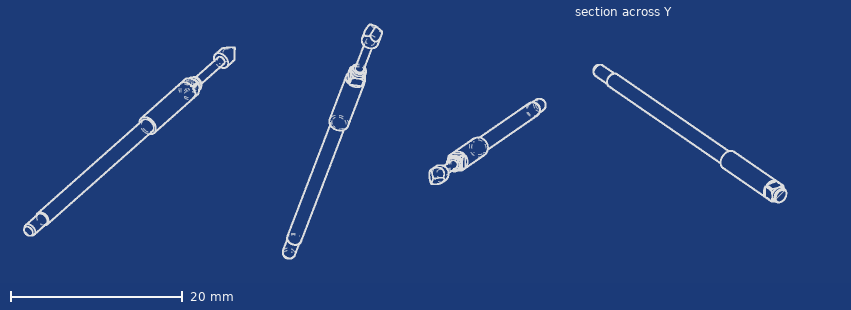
import cadquery as cq
import math

length = 44.3

head_dia = 2.0
head_length = 3.0
facet_angle = 30
facet_count = 3

rod_dia = 1.0

collar_start = 8.35
collar_dia = 1.75
collar_length = 0.7
collar_chamfer_length = 0.25
collar_chamfer_depth = 0.15

sleeve_dia = 2.3
sleeve_end = 18.75
grip_length = 1.3
grip_width = 1.75
grip_chamfer_length = 0.18
grip_chamfer_depth = 0.2

barrel_dia = 1.73
barrel_end = 41.38
barrel_chamfer = 0.1
tail_dia = 1.5
tail_chamfer_length = 0.3
tail_chamfer_depth = 0.15


def turned_section(start, end, dia):
    """Cylinder between two distances behind the tip."""
    plane = cq.Workplane("XZ", origin=(0, -start, 0))
    return plane.circle(dia / 2).extrude(end - start)


def bevelled_section(bevelled_end, plain_end, dia, axial, radial):
    """Cylinder with a cone of the given axial and radial size at one end."""
    radius = dia / 2
    cone_end = bevelled_end + math.copysign(axial, plain_end - bevelled_end)
    half_profile = [
        (0, -bevelled_end),
        (radius - radial, -bevelled_end),
        (radius, -cone_end),
        (radius, -plain_end),
        (0, -plain_end),
    ]
    return cq.Workplane("XY").polyline(half_profile).close().revolve(360, (0, 0, 0), (0, 1, 0))


def pointed_head():
    """Cylinder cut to a three-sided pyramid, with one facet facing +X."""
    facet_depth = head_length / math.cos(math.radians(facet_angle))
    cutter = (
        cq.Workplane("XY")
        .box(head_dia, 2 * facet_depth, 2 * head_dia, centered=(False, True, True))
        .rotate((0, 0, 0), (0, 0, 1), facet_angle)
    )
    head = turned_section(0, head_length, head_dia)
    for index in range(facet_count):
        turn = index * 360 / facet_count
        head = head.cut(cutter.rotate((0, 0, 0), (0, 1, 0), turn))
    return head


def gripped_sleeve():
    """Sleeve whose chamfered front end is cut to a square."""
    grip_start = collar_start + collar_length
    grip_end = grip_start + grip_length
    grip = bevelled_section(grip_start, grip_end, sleeve_dia, grip_chamfer_length, grip_chamfer_depth)
    square = (
        cq.Workplane("XZ", origin=(0, -grip_start, 0))
        .rect(grip_width, grip_width)
        .extrude(grip_length)
    )
    return grip.intersect(square).union(turned_section(grip_end, sleeve_end, sleeve_dia))


rod = turned_section(head_length, collar_start, rod_dia)

collar_end = collar_start + collar_length
collar = bevelled_section(
    collar_start, collar_end, collar_dia, collar_chamfer_length, collar_chamfer_depth
)

barrel = bevelled_section(barrel_end, sleeve_end, barrel_dia, barrel_chamfer, barrel_chamfer)

tail = bevelled_section(length, barrel_end, tail_dia, tail_chamfer_length, tail_chamfer_depth)

result = pointed_head()
for section in (rod, collar, gripped_sleeve(), barrel, tail):
    result = result.union(section)